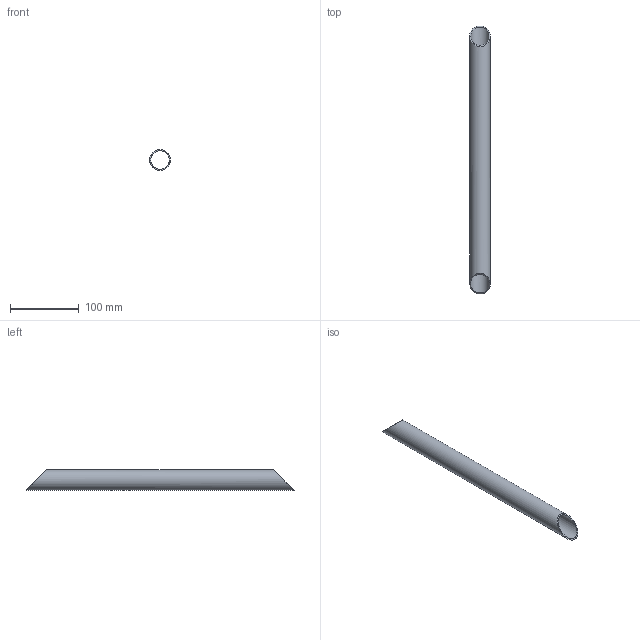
import cadquery as cq

OUTER_DIAMETER = 30.0
WALL = 1.5
LONG_LENGTH = 390.0

MITRE_RUN = OUTER_DIAMETER
SHORT_LENGTH = LONG_LENGTH - 2 * MITRE_RUN


def make_tube():
    """Straight tube of the full length, centred on the origin."""
    return (
        cq.Workplane("XZ")
        .circle(OUTER_DIAMETER / 2)
        .circle(OUTER_DIAMETER / 2 - WALL)
        .extrude(LONG_LENGTH / 2, both=True)
    )


def make_mitre_envelope():
    """Trapezoidal prism across X whose sloping ends are the mitre planes."""
    half_height = OUTER_DIAMETER / 2
    return (
        cq.Workplane("YZ")
        .moveTo(-LONG_LENGTH / 2, -half_height)
        .lineTo(LONG_LENGTH / 2, -half_height)
        .lineTo(SHORT_LENGTH / 2, half_height)
        .lineTo(-SHORT_LENGTH / 2, half_height)
        .close()
        .extrude(OUTER_DIAMETER, both=True)
    )


result = make_tube().intersect(make_mitre_envelope())